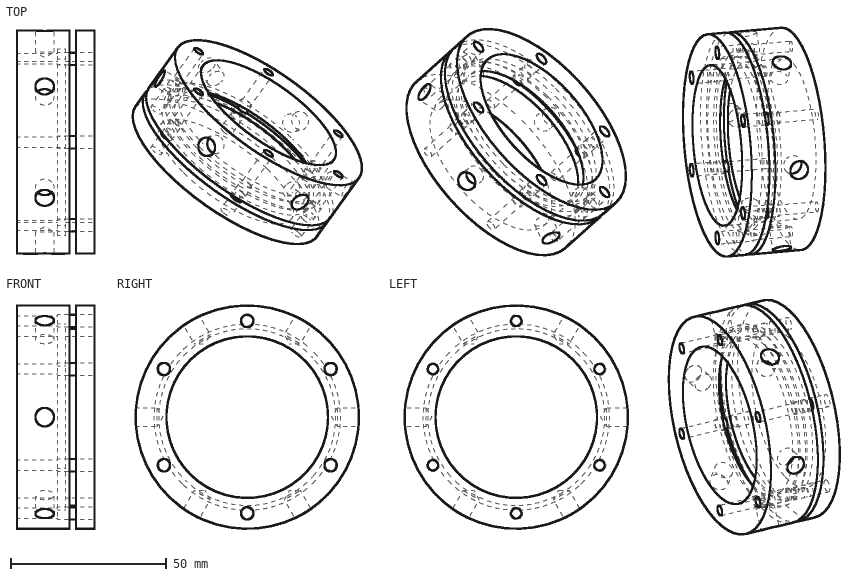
import cadquery as cq
import math

outer_diameter = 72.0
bore_diameter = 52.0
ring_length = 25.0

front_ring_length = 17.0
outer_groove_width = 2.0
outer_groove_floor_diameter = 57.0

bore_groove_start = 13.0
bore_groove_width = 2.6
bore_groove_floor_diameter = 60.05

radial_hole_diameter = 6.0
radial_hole_position = 8.9
radial_hole_depth = 7.0
drill_point_angle = 118.0

pin_count = 6
pin_circle_diameter = 62.0
pin_diameter = 4.0
front_hole_diameter = 3.3

angle_step = 360.0 / pin_count
pin_angles = [(index + 0.5) * angle_step for index in range(pin_count)]
radial_hole_angles = [index * angle_step for index in range(pin_count)]
pin_start = bore_groove_start
pin_length = ring_length - pin_start


def axial_cylinder(diameter, start, length):
    """Cylinder on the X axis that runs from X = start toward +X."""
    return cq.Workplane("YZ", origin=(start, 0, 0)).circle(diameter / 2).extrude(length)


def axial_tube(large_diameter, small_diameter, start, length):
    """Tube on the X axis that runs from X = start toward +X."""
    return axial_cylinder(large_diameter, start, length).cut(axial_cylinder(small_diameter, start, length))


def on_pin_circle(shape, angle):
    """Move a shape from the X axis to the pin circle, at an angle measured from +Y toward +Z."""
    return shape.translate((0, pin_circle_diameter / 2, 0)).rotate((0, 0, 0), (1, 0, 0), angle)


def radial_drill(angle):
    """Straight round hole with a conical bottom, drilled from the outside toward the axis."""
    hole_radius = radial_hole_diameter / 2
    point_length = hole_radius / math.tan(math.radians(drill_point_angle / 2))
    bottom_radius = outer_diameter / 2 - radial_hole_depth
    profile = [
        (0, bottom_radius - point_length),
        (hole_radius, bottom_radius),
        (hole_radius, outer_diameter / 2),
        (0, outer_diameter / 2),
    ]
    drill = cq.Workplane("XY").polyline(profile).close().revolve(360, (0, 0, 0), (0, 1, 0))
    return drill.translate((radial_hole_position, 0, 0)).rotate((0, 0, 0), (1, 0, 0), angle)


def make_pin(angle):
    """Pin from the front wall of the bore groove to the rear face."""
    return on_pin_circle(axial_cylinder(pin_diameter, pin_start, pin_length), angle)


def make_housing():
    """Grooved ring with radial holes, front holes and seats for the pins."""
    body = axial_tube(outer_diameter, bore_diameter, 0, ring_length)
    body = body.cut(
        axial_tube(outer_diameter, outer_groove_floor_diameter, front_ring_length, outer_groove_width)
    )
    body = body.cut(axial_cylinder(bore_groove_floor_diameter, bore_groove_start, bore_groove_width))
    for angle in radial_hole_angles:
        body = body.cut(radial_drill(angle))
    for angle in pin_angles:
        front_hole = on_pin_circle(axial_cylinder(front_hole_diameter, 0, pin_start), angle)
        body = body.cut(front_hole)
        body = body.cut(make_pin(angle))
    return body


housing = make_housing()
pins = [make_pin(angle) for angle in pin_angles]

result = cq.Compound.makeCompound([housing.solids().val(), *[pin.solids().val() for pin in pins]])